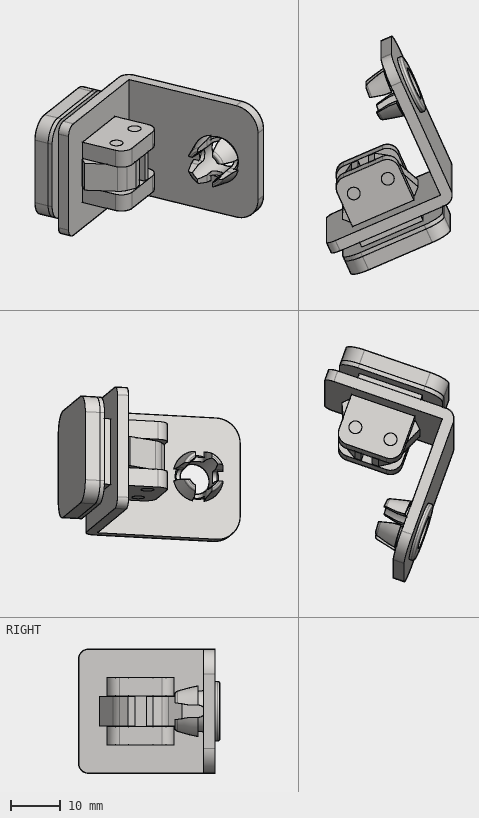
import cadquery as cq
import math


BRACKET_LENGTH = 32.0
BRACKET_DEPTH = 27.5
BRACKET_HEIGHT = 25.0
BRACKET_THICKNESS = 2.35
BEND_RADIUS = 2.3
LONG_LEG_RADIUS = 5.0
SHORT_LEG_RADIUS = 2.0

PAD_SIZE = 22.0
PAD_RADIUS = 4.0
PAD_THICKNESS = 3.05
FLANGE_THICKNESS = 0.92
FLANGE_GAP = 2.3

LATCH_Y = -14.98
BLOCK_SIZE = 13.52
BLOCK_LENGTH = 14.7
BLOCK_RADIUS = 2.5
SLOT_HEIGHT = 6.2

PIN_RADIUS = 1.3
PIN_X = 8.5
PIN_OFFSET = 3.75

PAWL_HEIGHT = 6.0
PAWL_INNER = 1.15
PAWL_TIP_X = 3.7
PAWL_TIP = 8.3
PAWL_END_X = 12.35
RAMP_ANGLE = 24.4
TAIL_ANGLE = 58.0
PAWL_CORNER_X = 10.7
PAWL_FILLET = 3.52

CLIP_X = 22.98
CLIP_HOLE_RADIUS = 4.52
HEAD_RADIUS = 6.0
HEAD_THICKNESS = 1.0
HEAD_FILLET = 0.5
SHANK_RADIUS = 4.25
BORE_RADIUS = 3.37
BARB_RADIUS = 5.25
TIP_RADIUS = 4.25
TIP_FILLET = 0.6
BARB_DROP = 1.1
TAPER_DROP = 2.75
TIP_DROP = 5.75
SLIT_HALF_WIDTH = 1.23
SLIT_TIP_HALF_WIDTH = 1.72
SLIT_ARCH_DROP = 0.95

FLANGE_BACK_X = -FLANGE_GAP
FLANGE_FRONT_X = FLANGE_BACK_X - FLANGE_THICKNESS
PAD_FRONT_X = FLANGE_FRONT_X - PAD_THICKNESS
BLOCK_END_X = FLANGE_BACK_X + BLOCK_LENGTH
INNER_Y = -BRACKET_THICKNESS
SIDES = (1, -1)


def centered_box(x_start, length, width, height):
    """A box on the latch axis, from x_start toward +X."""
    box = cq.Workplane("XY").box(length, width, height, centered=(False, True, True))
    return box.translate((x_start, LATCH_Y, 0))


def upright_cylinder(radius, x, y):
    """A cylinder along Z, as tall as the block."""
    return cq.Workplane("XY").center(x, y).circle(radius).extrude(BLOCK_SIZE / 2, both=True)


def pin_y(side):
    return LATCH_Y + side * PIN_OFFSET


def make_bracket():
    profile = [
        (0, 0),
        (BRACKET_LENGTH, 0),
        (BRACKET_LENGTH, INNER_Y),
        (BRACKET_THICKNESS, INNER_Y),
        (BRACKET_THICKNESS, -BRACKET_DEPTH),
        (0, -BRACKET_DEPTH),
    ]
    bracket = cq.Workplane("XY").polyline(profile).close().extrude(BRACKET_HEIGHT / 2, both=True)
    bracket = bracket.edges("|Z and <X and >Y").fillet(BEND_RADIUS)
    bracket = bracket.edges("|Y and >X").fillet(LONG_LEG_RADIUS)
    bracket = bracket.edges("|X and <Y").fillet(SHORT_LEG_RADIUS)
    window = centered_box(0, BRACKET_THICKNESS, BLOCK_SIZE, BLOCK_SIZE)
    clip_hole = cq.Workplane("XZ").center(CLIP_X, 0).circle(CLIP_HOLE_RADIUS).extrude(BRACKET_THICKNESS)
    return bracket.cut(window).cut(clip_hole)


def make_pad():
    pad = centered_box(PAD_FRONT_X, PAD_THICKNESS, PAD_SIZE, PAD_SIZE)
    return pad.edges("|X").fillet(PAD_RADIUS)


def make_housing():
    flange = centered_box(FLANGE_FRONT_X, FLANGE_THICKNESS, PAD_SIZE, PAD_SIZE)
    flange = flange.edges("|X").fillet(PAD_RADIUS)
    block = centered_box(FLANGE_BACK_X, BLOCK_LENGTH, BLOCK_SIZE, BLOCK_SIZE)
    block = block.edges("|Z and >X").fillet(BLOCK_RADIUS)
    slot = centered_box(BRACKET_THICKNESS, BLOCK_END_X - BRACKET_THICKNESS, BLOCK_SIZE, SLOT_HEIGHT)
    housing = flange.union(block).cut(slot)
    for side in SIDES:
        housing = housing.cut(upright_cylinder(PIN_RADIUS, PIN_X, pin_y(side)))
    return housing


def make_pin(side):
    return upright_cylinder(PIN_RADIUS, PIN_X, pin_y(side))


def make_pawl(side):
    """A hook with a 45 degree catch face, a ramp and a rounded tail, pivoting on a pin."""
    catch_run = PAWL_TIP_X - BRACKET_THICKNESS
    catch_height = PAWL_TIP - catch_run
    corner = PAWL_TIP - (PAWL_CORNER_X - PAWL_TIP_X) * math.tan(math.radians(RAMP_ANGLE))
    tail = corner - (PAWL_END_X - PAWL_CORNER_X) * math.tan(math.radians(TAIL_ANGLE))
    outline = [
        (BRACKET_THICKNESS, PAWL_INNER),
        (BRACKET_THICKNESS, catch_height),
        (PAWL_TIP_X, PAWL_TIP),
        (PAWL_CORNER_X, corner),
        (PAWL_END_X, tail),
        (PAWL_END_X, PAWL_INNER),
    ]
    points = [(x, LATCH_Y + side * offset) for x, offset in outline]
    pawl = cq.Workplane("XY").polyline(points).close().extrude(PAWL_HEIGHT / 2, both=True)
    corner_point = (PAWL_CORNER_X, LATCH_Y + side * corner, 0)
    pawl = pawl.edges(cq.NearestToPointSelector(corner_point)).fillet(PAWL_FILLET)
    return pawl.cut(upright_cylinder(PIN_RADIUS, PIN_X, pin_y(side)))


def make_slit():
    """A slit along Z through the clip: round at its closed end and flaring toward the tip."""
    arch_y = INNER_Y - SLIT_ARCH_DROP
    taper_y = INNER_Y - TAPER_DROP
    tip_y = INNER_Y - TIP_DROP
    return (
        cq.Workplane("XY")
        .moveTo(-SLIT_TIP_HALF_WIDTH, tip_y)
        .lineTo(-SLIT_HALF_WIDTH, taper_y)
        .lineTo(-SLIT_HALF_WIDTH, arch_y)
        .threePointArc((0, arch_y + SLIT_HALF_WIDTH), (SLIT_HALF_WIDTH, arch_y))
        .lineTo(SLIT_HALF_WIDTH, taper_y)
        .lineTo(SLIT_TIP_HALF_WIDTH, tip_y)
        .close()
        .extrude(BARB_RADIUS, both=True)
    )


def make_clip():
    """A hollow snap rivet whose barbed end is split into four prongs by two crossing slits."""
    barb_y = INNER_Y - BARB_DROP
    tip_y = INNER_Y - TIP_DROP
    half_section = [
        (BORE_RADIUS, HEAD_THICKNESS),
        (HEAD_RADIUS, HEAD_THICKNESS),
        (HEAD_RADIUS, 0),
        (SHANK_RADIUS, 0),
        (SHANK_RADIUS, barb_y),
        (BARB_RADIUS, barb_y),
        (TIP_RADIUS, tip_y),
        (BORE_RADIUS, tip_y),
    ]
    clip = cq.Workplane("XY").polyline(half_section).close().revolve(360, (0, 0, 0), (0, 1, 0))
    clip = clip.faces(">Y").edges(cq.selectors.RadiusNthSelector(-1)).fillet(HEAD_FILLET)
    clip = clip.faces("<Y").edges(cq.selectors.RadiusNthSelector(-1)).fillet(TIP_FILLET)
    for angle in (0, 90):
        clip = clip.cut(make_slit().rotate((0, 0, 0), (0, 1, 0), angle))
    return clip.translate((CLIP_X, 0, 0))


bracket = make_bracket()
pad = make_pad()
housing = make_housing()
pins = [make_pin(side) for side in SIDES]
pawls = [make_pawl(side) for side in SIDES]
clip = make_clip()

result = cq.Compound.makeCompound(
    [
        bracket.val(),
        pad.val(),
        housing.val(),
        *[pin.val() for pin in pins],
        *[pawl.val() for pawl in pawls],
        clip.val(),
    ]
)